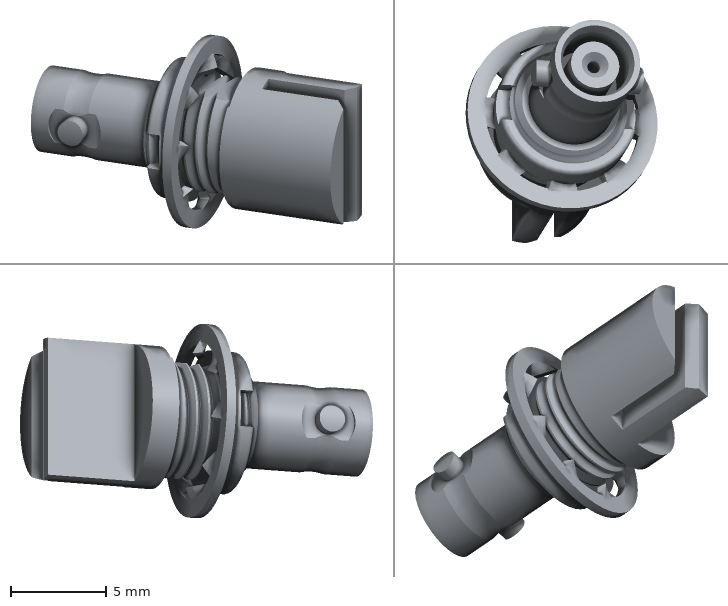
import cadquery as cq

TOTAL_LENGTH = 17.5
OVERSIZE = 0.18

SLEEVE_RADIUS = 2.3
GROOVE_DEPTH = 0.09
GROOVE_WIDTH = 1.4

PIN_X = 2.45
PIN_RADIUS = GROOVE_WIDTH / 2
PIN_TIP_RADIUS = 2.89
SPOT_FACE_RADIUS = 1.49
SPOT_FACE_Y = 2.08

MOUTH_RADIUS = 1.98
SOCKET_RADIUS = 1.78
MOUTH_DEPTH = 0.49
SOCKET_DEPTH = 3.5
INSULATOR_RADIUS = 1.3
INSULATOR_FRONT_X = 0.6
CONTACT_MOUTH_RADIUS = 0.72
CONTACT_HOLE_RADIUS = 0.33
CONTACT_HOLE_DEPTH = 1.4

BODY_FRONT_X = 6.48
BODY_CHAMFER = 0.5
THREAD_RADIUS = 3.13
THREAD_DEPTH = 0.4
THREAD_PITCH = 0.68
THREAD_TURNS = 7
THREAD_END_X = 10.48
THREAD_END_ANGLE = 57.0
THREAD_MOUTH_WIDTH = 0.58
THREAD_ROOT_WIDTH = 0.05
THREAD_OVERCUT = 0.04
FLAT_Z = 2.66
FLAT_END_X = 11.34

FLANGE_X = 11.24
FLANGE_RADIUS = 3.76
LEGS_X = 12.7
LEG_TOP_Y = 0.75
SLOT_MAX_Y = -0.49
SLOT_MIN_Y = -1.4
LEG_CHAMFER = 0.5

WASHER_X = 8.54
WASHER_THICKNESS = 0.5
WASHER_DIAMETER = 10.2
WASHER_HOLE_RADIUS = 4.15
TOOTH_COUNT = 8
TOOTH_WIDTH = 1.55
TOOTH_ROOT_RADIUS = 4.18
TOOTH_TIP_RADIUS = 3.5
TOOTH_TWIST = 30.0

NUT_X = 7.02
NUT_RADIUS = 3.75
NUT_BORE_RADIUS = 2.98
NUT_MOUTH_RADIUS = 3.17
NUT_FILLET = 0.25
NUT_SLOT_WIDTH = 1.95
NUT_SLOT_DEPTH = 0.79


def cylinder(radius, x_start, x_end):
    """Solid cylinder on the X axis."""
    return cq.Workplane("YZ", origin=(x_start, 0, 0)).circle(radius).extrude(x_end - x_start)


def block(x_range, y_range, z_range):
    """Axis-aligned box given by its limits on each axis."""
    sizes = [high - low for low, high in (x_range, y_range, z_range)]
    corner = (x_range[0], y_range[0], z_range[0])
    return cq.Workplane("XY").box(*sizes, centered=False).translate(corner)


def revolve(profile):
    """Turn a closed profile, drawn as (x, radius), about the X axis."""
    return profile.close().revolve(360, (0, 0, 0), (1, 0, 0))


def make_sleeve():
    groove_start = PIN_X - GROOVE_WIDTH / 2
    groove_end = PIN_X + GROOVE_WIDTH / 2
    sleeve = revolve(
        cq.Workplane("XY")
        .lineTo(0, SLEEVE_RADIUS)
        .lineTo(groove_start, SLEEVE_RADIUS)
        .threePointArc((PIN_X, SLEEVE_RADIUS - GROOVE_DEPTH), (groove_end, SLEEVE_RADIUS))
        .lineTo(BODY_FRONT_X, SLEEVE_RADIUS)
        .lineTo(BODY_FRONT_X, 0)
    )
    spot_faces = (
        cq.Workplane("XZ", origin=(PIN_X, 0, 0))
        .circle(SPOT_FACE_RADIUS)
        .extrude(SLEEVE_RADIUS + OVERSIZE, both=True)
        .cut(block((0, BODY_FRONT_X), (-SPOT_FACE_Y, SPOT_FACE_Y), (-SLEEVE_RADIUS, SLEEVE_RADIUS)))
    )
    pins = (
        cq.Workplane("XZ", origin=(PIN_X, 0, 0))
        .circle(PIN_RADIUS)
        .extrude(PIN_TIP_RADIUS + OVERSIZE, both=True)
        .intersect(cylinder(PIN_TIP_RADIUS, 0, BODY_FRONT_X))
    )
    return sleeve.cut(spot_faces).union(pins)


def make_socket():
    """Space inside the sleeve, around the insulator and down its contact hole."""
    cone_depth = CONTACT_MOUTH_RADIUS - CONTACT_HOLE_RADIUS
    cone_end_x = INSULATOR_FRONT_X + cone_depth
    hole_end_x = cone_end_x + CONTACT_HOLE_DEPTH
    return revolve(
        cq.Workplane("XY")
        .lineTo(0, MOUTH_RADIUS)
        .lineTo(MOUTH_DEPTH, SOCKET_RADIUS)
        .lineTo(SOCKET_DEPTH, SOCKET_RADIUS)
        .lineTo(SOCKET_DEPTH, INSULATOR_RADIUS)
        .lineTo(INSULATOR_FRONT_X, INSULATOR_RADIUS)
        .lineTo(INSULATOR_FRONT_X, CONTACT_MOUTH_RADIUS)
        .lineTo(cone_end_x, CONTACT_HOLE_RADIUS)
        .lineTo(hole_end_x, CONTACT_HOLE_RADIUS)
        .lineTo(hole_end_x + CONTACT_HOLE_RADIUS, 0)
    )


def make_thread_groove():
    """Right-handed V groove that stops where the barrel meets the top flat."""
    height = THREAD_PITCH * THREAD_TURNS
    root_radius = THREAD_RADIUS - THREAD_DEPTH
    flank_slope = (THREAD_MOUTH_WIDTH - THREAD_ROOT_WIDTH) / 2 / THREAD_DEPTH
    outer_half = THREAD_MOUTH_WIDTH / 2 + flank_slope * THREAD_OVERCUT
    outer_radius = THREAD_RADIUS + THREAD_OVERCUT
    root_half = THREAD_ROOT_WIDTH / 2
    helix = cq.Wire.makeHelix(THREAD_PITCH, height, THREAD_RADIUS)
    groove = (
        cq.Workplane("XZ")
        .polyline([
            (root_radius, -root_half),
            (outer_radius, -outer_half),
            (outer_radius, outer_half),
            (root_radius, root_half),
        ])
        .close()
        .sweep(cq.Workplane(obj=helix), isFrenet=True)
    )
    return (
        groove.rotate((0, 0, 0), (0, 0, 1), THREAD_END_ANGLE)
        .rotate((0, 0, 0), (1, 1, 1), 120)
        .translate((THREAD_END_X - height, 0, 0))
    )


def make_body():
    barrel = cylinder(THREAD_RADIUS, BODY_FRONT_X, FLANGE_X).faces("<X").chamfer(BODY_CHAMFER)
    flange = cylinder(FLANGE_RADIUS, FLANGE_X, TOTAL_LENGTH)
    flat = block(
        (BODY_FRONT_X - OVERSIZE, FLAT_END_X),
        (-FLANGE_RADIUS, FLANGE_RADIUS),
        (FLAT_Z, FLANGE_RADIUS + OVERSIZE),
    )
    return barrel.cut(make_thread_groove()).union(flange).cut(flat)


def make_leg_cuts():
    """Remove one side of the flange's rear and slot the rest for a board."""
    tall = FLANGE_RADIUS + OVERSIZE
    side = block((LEGS_X, TOTAL_LENGTH + OVERSIZE), (LEG_TOP_Y, tall), (-tall, tall))
    chamfer_x = TOTAL_LENGTH - LEG_CHAMFER
    slot = (
        cq.Workplane("XY", origin=(0, 0, -tall))
        .polyline([
            (LEGS_X, SLOT_MIN_Y),
            (chamfer_x, SLOT_MIN_Y),
            (TOTAL_LENGTH, SLOT_MIN_Y - LEG_CHAMFER),
            (TOTAL_LENGTH, SLOT_MAX_Y + LEG_CHAMFER),
            (chamfer_x, SLOT_MAX_Y),
            (LEGS_X, SLOT_MAX_Y),
        ])
        .close()
        .extrude(2 * tall)
    )
    return side.union(slot)


def make_nut():
    nut = cylinder(NUT_RADIUS, NUT_X, WASHER_X).faces("<X").edges().fillet(NUT_FILLET)
    bore = cylinder(NUT_BORE_RADIUS, NUT_X, WASHER_X)
    bore = bore.union(
        cq.Workplane("YZ", origin=(NUT_X, 0, 0))
        .circle(NUT_MOUTH_RADIUS)
        .workplane(offset=NUT_MOUTH_RADIUS - NUT_BORE_RADIUS)
        .circle(NUT_BORE_RADIUS)
        .loft()
    )
    slot = block(
        (NUT_X - OVERSIZE, NUT_X + NUT_SLOT_DEPTH),
        (-NUT_RADIUS - OVERSIZE, NUT_RADIUS + OVERSIZE),
        (-NUT_SLOT_WIDTH / 2, NUT_SLOT_WIDTH / 2),
    )
    return nut.cut(bore).cut(slot)


def make_washer():
    """Lock washer whose inner teeth twist about their own radial axes."""
    washer = cylinder(WASHER_DIAMETER / 2, WASHER_X, WASHER_X + WASHER_THICKNESS).cut(
        cylinder(WASHER_HOLE_RADIUS, WASHER_X, WASHER_X + WASHER_THICKNESS)
    )
    middle_x = WASHER_X + WASHER_THICKNESS / 2
    tooth = (
        cq.Workplane("XY", origin=(middle_x, 0, TOOTH_ROOT_RADIUS))
        .rect(WASHER_THICKNESS, TOOTH_WIDTH)
        .twistExtrude(TOOTH_TIP_RADIUS - TOOTH_ROOT_RADIUS, TOOTH_TWIST)
    )
    for index in range(TOOTH_COUNT):
        angle = index * 360 / TOOTH_COUNT
        washer = washer.union(tooth.rotate((0, 0, 0), (1, 0, 0), angle))
    return washer


connector = make_sleeve().cut(make_socket()).union(make_body()).cut(make_leg_cuts())
result = connector.union(make_nut()).union(make_washer())